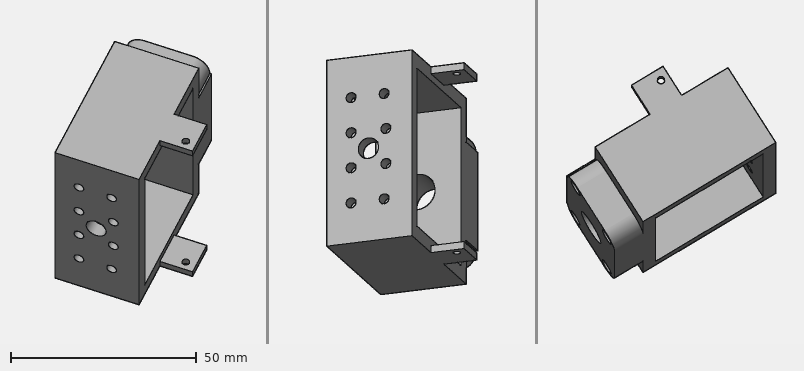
import cadquery as cq

TURN_ANGLE = 5.0

FRAME_WIDTH = 24.5
FRAME_LENGTH = 42.0
FRAME_HEIGHT = 53.0
WALL = 4.0

BOSS_WIDTH = 24.0
BOSS_LENGTH = 9.0
BOSS_HEIGHT = 38.0
BOSS_CORNER_RADIUS = 5.0
BORE_DIAMETER = 10.0
BOSS_SCREW_DIAMETER = 4.5
BOSS_SCREW_PITCH_X = 16.0
BOSS_SCREW_PITCH_Z = 31.0
BOSS_SCREW_DEPTH = BOSS_LENGTH

SHAFT_DIAMETER = 5.8
SMALL_HOLE_DIAMETER = 2.8
INNER_ROW_Z = 5.0
OUTER_ROW_Z = 15.0
COLUMN_OFFSET = 5.0
OUTER_RIGHT_OFFSET = 4.5

TAB_LENGTH = 9.5
TAB_WIDTH = 10.0
TAB_THICKNESS = 2.0
TAB_START_Y = 14.65
TAB_HOLE_DIAMETER = 2.0
TAB_HOLE_FROM_TIP = 3.0
TAB_HOLE_FROM_EDGE = 2.5

AXIS_X = BOSS_WIDTH / 2
HALF_HEIGHT = FRAME_HEIGHT / 2
BOSS_FACE_Y = FRAME_LENGTH + BOSS_LENGTH


def y_cylinders(points, diameter, start_y, length):
    """Cylinders along +Y from start_y, placed at (x, z) points."""
    return (
        cq.Workplane("XZ", origin=(0, start_y, 0))
        .pushPoints(points)
        .circle(diameter / 2)
        .extrude(-length)
    )


def make_frame():
    """Rectangular tube open along X."""
    outer = cq.Workplane("XY").box(FRAME_WIDTH, FRAME_LENGTH, FRAME_HEIGHT)
    window = cq.Workplane("XY").box(FRAME_WIDTH, FRAME_LENGTH - 2 * WALL, FRAME_HEIGHT - 2 * WALL)
    return outer.cut(window).translate((FRAME_WIDTH / 2, FRAME_LENGTH / 2, 0))


def make_boss():
    """Block with rounded corners on the +Y wall, with a thin flat pad on its +X side."""
    mid_y = FRAME_LENGTH + BOSS_LENGTH / 2
    block = (
        cq.Workplane("XY")
        .box(BOSS_WIDTH, BOSS_LENGTH, BOSS_HEIGHT)
        .edges("|Y")
        .fillet(BOSS_CORNER_RADIUS)
        .translate((AXIS_X, mid_y, 0))
    )
    pad_thickness = FRAME_WIDTH - BOSS_WIDTH
    pad_height = BOSS_HEIGHT - 2 * BOSS_CORNER_RADIUS
    pad = cq.Workplane("XY").box(pad_thickness, BOSS_LENGTH, pad_height)
    return block.union(pad.translate((BOSS_WIDTH + pad_thickness / 2, mid_y, 0)))


def make_tab(bottom_z):
    """Flat tab with one vertical hole."""
    hole_x = FRAME_WIDTH + TAB_LENGTH - TAB_HOLE_FROM_TIP
    hole_y = TAB_START_Y + TAB_HOLE_FROM_EDGE
    plate = (
        cq.Workplane("XY", origin=(FRAME_WIDTH, TAB_START_Y, bottom_z))
        .rect(TAB_LENGTH, TAB_WIDTH, centered=False)
        .extrude(TAB_THICKNESS)
    )
    hole = (
        cq.Workplane("XY", origin=(hole_x, hole_y, bottom_z))
        .circle(TAB_HOLE_DIAMETER / 2)
        .extrude(TAB_THICKNESS)
    )
    return plate.cut(hole)


def boss_holes():
    """Central bore through boss and wall, with a blind screw hole at each corner."""
    bore_length = BOSS_LENGTH + WALL
    bore = y_cylinders([(AXIS_X, 0)], BORE_DIAMETER, BOSS_FACE_Y - bore_length, bore_length)
    screw_x = BOSS_SCREW_PITCH_X / 2
    screw_z = BOSS_SCREW_PITCH_Z / 2
    corners = [(AXIS_X + sx * screw_x, sz * screw_z) for sx in (-1, 1) for sz in (-1, 1)]
    screws = y_cylinders(corners, BOSS_SCREW_DIAMETER, BOSS_FACE_Y - BOSS_SCREW_DEPTH, BOSS_SCREW_DEPTH)
    return bore.union(screws)


def front_wall_holes():
    """Shaft hole and eight small holes through the -Y wall."""
    small_points = []
    for side in (-1, 1):
        small_points.append((AXIS_X - COLUMN_OFFSET, side * INNER_ROW_Z))
        small_points.append((AXIS_X + COLUMN_OFFSET, side * INNER_ROW_Z))
        small_points.append((AXIS_X - COLUMN_OFFSET, side * OUTER_ROW_Z))
        small_points.append((AXIS_X + OUTER_RIGHT_OFFSET, side * OUTER_ROW_Z))
    shaft = y_cylinders([(AXIS_X, 0)], SHAFT_DIAMETER, 0, WALL)
    return shaft.union(y_cylinders(small_points, SMALL_HOLE_DIAMETER, 0, WALL))


body = make_frame().union(make_boss())
for tab_bottom in (-HALF_HEIGHT, HALF_HEIGHT - TAB_THICKNESS):
    body = body.union(make_tab(tab_bottom))
body = body.cut(boss_holes()).cut(front_wall_holes())

result = body.rotate((0, 0, 0), (0, 0, 1), TURN_ANGLE)